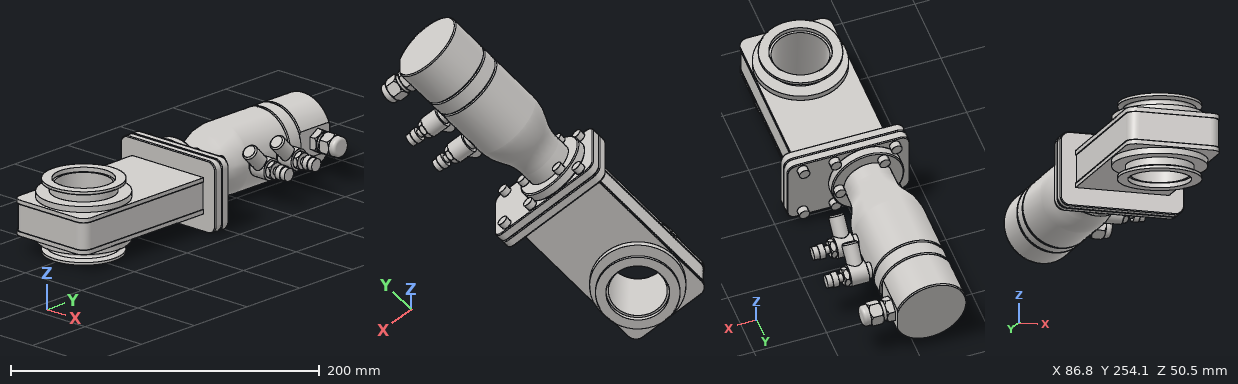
import cadquery as cq
import math


body_width = 63.5
body_height = 25.0
body_end_y = -33.5
cover_thickness = 3.0
core_inset = 0.5
body_corner_radius = 6.9

port_start_z = body_height / 2 - cover_thickness
port_ring_radius = 31.3
port_ring_top = 16.5
port_tube_radius = 22.4
port_tube_top = 20.8
port_rim_radius = 27.5
port_rim_edge_z = 23.5
port_taper_radius = 24.0
port_taper_z = 21.9
port_top = 50.5 / 2
bore_radius = 19.0
seat_radius = 20.5
seat_depth = 3.0

bonnet_y = 79.8
bonnet_width = 84.5
bonnet_height = 49.8
bonnet_plate_thickness = 6.4
bonnet_corner_radius = 6.4
bonnet_chamfer = 0.64
bonnet_top_y = bonnet_y + 2 * bonnet_plate_thickness

screw_radius = 3.5
screw_height = 4.5
bonnet_screw_z = 19.5
bonnet_screw_xs = (-31.8, 10.0, 31.8)
actuator_screw_count = 3
actuator_screw_circle = 20.3

actuator_x = -11.0
actuator_radius = 25.0
neck_radius = 16.5
foot_top_y = 99.6
neck_top_y = 109.3
shoulder_y = 141.5
lower_groove_y = 180.5
upper_groove_y = 192.0
actuator_top_y = 220.6
groove_size = 0.8
actuator_chamfer = 0.8
cap_flat_x = 12.0

gland_y = 209.2
gland_hex_flats = 14.5
gland_neck_radius = 6.5
gland_hex_end_x = 17.3
gland_neck_end_x = 19.5
gland_nut_end_x = 28.2
gland_end_x = 33.0
gland_end_radius = 7.0
gland_end_rounding = 2.3

fitting_ys = (147.2, 173.0)
fitting_start_x = 12.7
spacer_radius = 5.3
tee_start_x = 16.8
tee_end_x = 29.0
tee_radius = 7.4
fitting_nut_end_x = 33.0
fitting_nut_flats = 11.5
stem_radius = 2.8
stem_end_x = 36.5
collar_radius = 5.0
collar_end_x = 40.7
tip_radius = 4.45
fitting_end_x = 44.5
branch_radius = 5.3
branch_length = 20.8
branch_tilt = 45
branch_chamfer = 1.0
nut_chamfer_length = 1.3
nut_chamfer_depth = 1.0


def y_plane(y, x=0, z=0):
    """Plane facing +Y, with its local x along X."""
    return cq.Plane(origin=(x, y, z), xDir=(1, 0, 0), normal=(0, 1, 0))


def x_plane(x, y):
    """Plane facing +X, with its local x along Y."""
    return cq.Plane(origin=(x, y, 0), xDir=(0, 1, 0), normal=(1, 0, 0))


def rod_along_x(start_x, end_x, y, radius):
    return cq.Workplane(x_plane(start_x, y)).circle(radius).extrude(end_x - start_x)


def hex_along_x(start_x, end_x, y, across_flats):
    """Hexagon with corners at the top and bottom, its end corners turned off."""
    corner_radius = across_flats / 2 / math.cos(math.radians(30))
    end_radius = corner_radius - nut_chamfer_depth
    prism = cq.Workplane(x_plane(start_x, y)).polygon(6, 2 * corner_radius).extrude(end_x - start_x)
    prism = prism.rotate((0, y, 0), (1, y, 0), 90)
    turned = (
        cq.Workplane(cq.Plane(origin=(0, y, 0)))
        .moveTo(start_x, 0)
        .lineTo(start_x, end_radius)
        .lineTo(start_x + nut_chamfer_length, corner_radius)
        .lineTo(end_x - nut_chamfer_length, corner_radius)
        .lineTo(end_x, end_radius)
        .lineTo(end_x, 0)
        .close()
        .revolve(360, (0, 0, 0), (1, 0, 0))
    )
    return prism.intersect(turned)


def body_slab(inset, height):
    """Block reaching the bonnet, with its two far corners rounded."""
    end_y = body_end_y + inset
    length = bonnet_y - end_y
    return (
        cq.Workplane("XY")
        .box(body_width - 2 * inset, length, height)
        .translate((0, end_y + length / 2, 0))
        .edges("|Z and <Y")
        .fillet(body_corner_radius)
    )


def valve_body():
    covers = body_slab(0, body_height)
    gap_size = 2 * actuator_top_y
    gap = cq.Workplane("XY").box(gap_size, gap_size, body_height - 2 * cover_thickness)
    return covers.cut(gap).union(body_slab(core_inset, body_height))


def port():
    """Upper port, turned about Z and rooted in the cover plate."""
    return (
        cq.Workplane("XZ")
        .moveTo(0, port_start_z)
        .lineTo(port_ring_radius, port_start_z)
        .lineTo(port_ring_radius, port_ring_top)
        .lineTo(port_tube_radius, port_ring_top)
        .lineTo(port_tube_radius, port_tube_top)
        .tangentArcPoint((port_taper_radius, port_taper_z), relative=False)
        .lineTo(port_rim_radius, port_rim_edge_z)
        .lineTo(port_rim_radius, port_top)
        .lineTo(0, port_top)
        .close()
        .revolve(360, (0, 0, 0), (0, 1, 0))
    )


def port_bore():
    bore = cq.Workplane("XY").circle(bore_radius).extrude(port_top, both=True)
    for side in (1, -1):
        seat = cq.Workplane("XY").workplane(offset=side * port_top)
        bore = bore.union(seat.circle(seat_radius).extrude(-side * seat_depth))
    return bore


def bonnet_plate(y):
    return (
        cq.Workplane(y_plane(y))
        .rect(bonnet_width, bonnet_height)
        .extrude(bonnet_plate_thickness)
        .edges("|Y")
        .fillet(bonnet_corner_radius)
        .faces("<Y or >Y")
        .edges()
        .chamfer(bonnet_chamfer)
    )


def screw_head(x, y, z):
    return cq.Workplane(y_plane(y, x, z)).circle(screw_radius).extrude(screw_height)


def actuator():
    """Foot, neck, S-shaped shoulder and grooved cylinder, with a flat on the cap."""
    r = actuator_radius
    c = actuator_chamfer
    g = groove_size
    middle_radius = (neck_radius + r) / 2
    middle_y = (neck_top_y + shoulder_y) / 2
    profile = (
        cq.Workplane("XY")
        .moveTo(0, bonnet_top_y)
        .lineTo(r - c, bonnet_top_y)
        .lineTo(r, bonnet_top_y + c)
        .lineTo(r, foot_top_y - c)
        .lineTo(r - c, foot_top_y)
        .lineTo(neck_radius, foot_top_y)
        .lineTo(neck_radius, neck_top_y)
        .tangentArcPoint((middle_radius, middle_y), relative=False)
        .tangentArcPoint((r, shoulder_y), relative=False)
    )
    for groove_y in (lower_groove_y, upper_groove_y):
        profile = profile.lineTo(r, groove_y - g).lineTo(r - g, groove_y).lineTo(r, groove_y + g)
    turned = (
        profile.lineTo(r, actuator_top_y - c)
        .lineTo(r - c, actuator_top_y)
        .lineTo(0, actuator_top_y)
        .close()
        .revolve(360, (0, 0, 0), (0, 1, 0))
        .translate((actuator_x, 0, 0))
    )
    beside_flat = (
        cq.Workplane("XY")
        .box(r, actuator_top_y - upper_groove_y, 2 * r, centered=(False, False, True))
        .translate((cap_flat_x, upper_groove_y, 0))
    )
    return turned.cut(beside_flat)


def cable_gland():
    base = hex_along_x(cap_flat_x - nut_chamfer_length, gland_hex_end_x, gland_y, gland_hex_flats)
    neck = rod_along_x(gland_hex_end_x, gland_nut_end_x, gland_y, gland_neck_radius)
    nut = hex_along_x(gland_neck_end_x, gland_nut_end_x, gland_y, gland_hex_flats)
    end = rod_along_x(gland_neck_end_x, gland_end_x, gland_y, gland_end_radius)
    end = end.faces(">X").edges().fillet(gland_end_rounding)
    return base.union(neck).union(nut).union(end)


def fitting_branch(y):
    """Round branch of the tee, tilted up from -Y."""
    tilt = math.radians(branch_tilt)
    plane = cq.Plane(
        origin=((tee_start_x + tee_end_x) / 2, y, 0),
        xDir=(1, 0, 0),
        normal=(0, -math.cos(tilt), math.sin(tilt)),
    )
    rod = cq.Workplane(plane).circle(branch_radius).extrude(branch_length)
    return rod.faces(">Z").edges().chamfer(branch_chamfer)


def air_fitting(y):
    spacer = rod_along_x(fitting_start_x, tee_start_x, y, spacer_radius)
    tee = rod_along_x(tee_start_x, tee_end_x, y, tee_radius)
    nut = hex_along_x(tee_end_x, fitting_nut_end_x, y, fitting_nut_flats)
    stem = rod_along_x(tee_end_x, stem_end_x, y, stem_radius)
    collar = rod_along_x(stem_end_x, collar_end_x, y, collar_radius)
    tip = rod_along_x(collar_end_x, fitting_end_x, y, tip_radius)
    return spacer.union(tee).union(fitting_branch(y)).union(nut).union(stem).union(collar).union(tip)


upper_port = port()
result = valve_body().union(upper_port).union(upper_port.mirror("XY")).cut(port_bore())

for plate_index in range(2):
    result = result.union(bonnet_plate(bonnet_y + plate_index * bonnet_plate_thickness))

result = result.union(actuator())

for screw_x in bonnet_screw_xs:
    for screw_z in (-bonnet_screw_z, bonnet_screw_z):
        result = result.union(screw_head(screw_x, bonnet_top_y, screw_z))

for screw_index in range(actuator_screw_count):
    angle = 2 * math.pi * screw_index / actuator_screw_count
    screw_x = actuator_x + actuator_screw_circle * math.cos(angle)
    result = result.union(screw_head(screw_x, foot_top_y, actuator_screw_circle * math.sin(angle)))

result = result.union(cable_gland())

for fitting_y in fitting_ys:
    result = result.union(air_fitting(fitting_y))